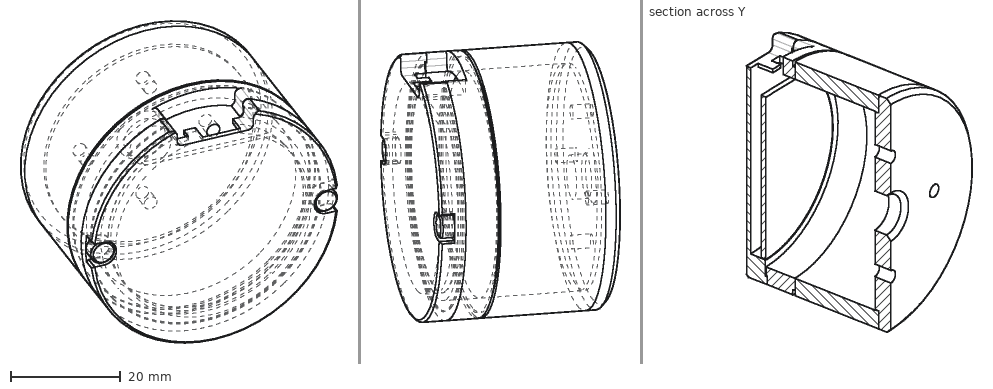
import cadquery as cq
import math

cap_end = 2.9
cap_back = 3.75
tube_end = 22.5
ring_start = 23.0
ring_end = 29.0
overall_length = 33.9

outer_radius = 24.5
inner_radius = 20.8
front_chamfer = 1.0
rear_chamfer = 0.5
groove_radius = 23.4
rear_spigot_radius = 22.7
rear_spigot_length = 0.25

bore_radius = 4.05
bore_chamfer = 1.0
bolt_hole_radius = 1.25
bolt_circle_radius = 12.5
bolt_hole_count = 4

slot_start = 25.3
slot_half_width = 7.55
slot_floor = 19.55
slot_floor_fillet = 1.15
slot_edge_fillet = 0.95
ledge_height = 22.85

recess_radius = 22.8
recess_depth = 0.4
cavity_radius = 19.35
slot_floor_thickness = 0.75
end_wall = 1.1
cavity_end = overall_length - end_wall
plug_opening_y = (-2.05, 5.4)
lead_opening_end = 31.5
lead_opening_y = (-6.7, -4.35)

board_start = 29.25
board_thickness = 1.2
board_flat = 14.7

screw_y = 22.05
screw_seat = 31.1
head_end = 33.6
head_radius = 2.35
head_chamfer = 0.35
notch_half_width = 2.45
notch_flare_start = 23.9
notch_flare_slope = 0.9


def disc(start, end, radius):
    """Cylinder on the X axis between two axial positions."""
    return cq.Workplane("YZ").workplane(offset=start).circle(radius).extrude(end - start)


def box_between(x_range, y_range, z_range):
    """Axis-aligned box given by its limits."""
    lengths = [high - low for low, high in (x_range, y_range, z_range)]
    corner = (x_range[0], y_range[0], z_range[0])
    return cq.Workplane("XY").box(*lengths, centered=False).translate(corner)


def flat_topped_disc(start, end, flat_height):
    """Disc that fits the cover cavity, cut level at a height above the motor axis."""
    above_flat = box_between(
        (start, end), (-cavity_radius, cavity_radius), (flat_height, outer_radius)
    )
    return disc(start, end, cavity_radius).cut(above_flat)


def slot_cutter(start, end, round_into_cylinder):
    """Rounded-floor slot whose upper edges curve into the outer cylinder or into a flat ledge."""
    centre_y = slot_half_width + slot_edge_fillet
    if round_into_cylinder:
        centre_radius = outer_radius - slot_edge_fillet
        centre_z = math.sqrt(centre_radius**2 - centre_y**2)
        top_angle = math.atan2(centre_z, centre_y)
    else:
        centre_z = ledge_height - slot_edge_fillet
        top_angle = math.pi / 2
    top_y = centre_y + slot_edge_fillet * math.cos(top_angle)
    top_z = centre_z + slot_edge_fillet * math.sin(top_angle)
    middle_angle = (math.pi + top_angle) / 2
    middle_y = centre_y + slot_edge_fillet * math.cos(middle_angle)
    middle_z = centre_z + slot_edge_fillet * math.sin(middle_angle)
    edge_y = math.sqrt(outer_radius**2 - top_z**2)

    floor_half = slot_half_width - slot_floor_fillet
    fillet_top = slot_floor + slot_floor_fillet
    fillet_inset = slot_floor_fillet * (1 - math.sqrt(0.5))
    corner_y = slot_half_width - fillet_inset
    corner_z = slot_floor + fillet_inset

    half_slot = (
        cq.Workplane("YZ").workplane(offset=start)
        .moveTo(0, slot_floor)
        .lineTo(floor_half, slot_floor)
        .threePointArc((corner_y, corner_z), (slot_half_width, fillet_top))
        .lineTo(slot_half_width, centre_z)
        .threePointArc((middle_y, middle_z), (top_y, top_z))
    )
    if not round_into_cylinder:
        half_slot = half_slot.lineTo(edge_y, top_z)
    half_slot = half_slot.lineTo(edge_y, outer_radius).lineTo(0, outer_radius).close().extrude(end - start)
    return half_slot.union(half_slot.mirror("XZ"))


def notch_cutter(side):
    """Screw notch with a round inner end and a mouth that flares at the outer cylinder."""
    round_end = disc(screw_seat, overall_length, notch_half_width).translate((0, side * screw_y, 0))
    mouth_half_width = notch_half_width + notch_flare_slope * (outer_radius - notch_flare_start)
    mouth = (
        cq.Workplane("YZ").workplane(offset=screw_seat)
        .moveTo(side * screw_y, -notch_half_width)
        .lineTo(side * notch_flare_start, -notch_half_width)
        .lineTo(side * outer_radius, -mouth_half_width)
        .lineTo(side * outer_radius, mouth_half_width)
        .lineTo(side * notch_flare_start, notch_half_width)
        .lineTo(side * screw_y, notch_half_width)
        .close()
        .extrude(overall_length - screw_seat)
    )
    return round_end.union(mouth)


def make_cap():
    """Front disc with a spigot into the tube, a chamfered centre bore and four bolt holes."""
    cap = disc(0, cap_end, outer_radius).faces("<X").chamfer(front_chamfer)
    cap = cap.union(disc(cap_end, cap_back, inner_radius))
    cap = cap.cut(disc(0, cap_back, bore_radius))
    countersink = cq.Solid.makeCone(
        bore_radius + bore_chamfer, bore_radius, bore_chamfer, cq.Vector(0, 0, 0), cq.Vector(1, 0, 0)
    )
    bolt_holes = (
        cq.Workplane("YZ")
        .polarArray(bolt_circle_radius, 0, 360, bolt_hole_count)
        .circle(bolt_hole_radius)
        .extrude(cap_back)
    )
    return cap.cut(cq.Workplane(countersink)).cut(bolt_holes)


def make_tube():
    """Plain tube behind the cap."""
    return disc(cap_end, tube_end, outer_radius).cut(disc(cap_end, tube_end, inner_radius))


def make_ring():
    """Slotted ring, set off from the tube by a narrower collar, with a spigot into the cover."""
    rear_spigot_end = ring_end + rear_spigot_length
    ring = disc(ring_start, ring_end, outer_radius)
    ring = ring.union(disc(tube_end, ring_start, groove_radius))
    ring = ring.union(disc(ring_end, rear_spigot_end, rear_spigot_radius))
    ring = ring.cut(disc(tube_end, rear_spigot_end, inner_radius))
    return ring.cut(slot_cutter(slot_start, rear_spigot_end, True))


def make_cover():
    """Rear cup with the slot, two floor openings and two screw notches."""
    cover = disc(ring_end, overall_length, outer_radius).faces(">X").chamfer(rear_chamfer)
    cover = cover.cut(disc(ring_end, ring_end + recess_depth, recess_radius))
    cover = cover.cut(flat_topped_disc(ring_end, cavity_end, slot_floor - slot_floor_thickness))
    cover = cover.cut(slot_cutter(ring_end, overall_length, False))
    openings = ((cavity_end, plug_opening_y), (lead_opening_end, lead_opening_y))
    for opening_end, y_range in openings:
        cover = cover.cut(box_between((ring_end, opening_end), y_range, (0, outer_radius)))
    for side in (-1, 1):
        cover = cover.cut(notch_cutter(side))
    return cover


def make_board():
    """Round circuit board with a flat below the slot openings."""
    return flat_topped_disc(board_start, board_start + board_thickness, board_flat)


def make_screw_head(side):
    """Chamfered screw head resting on the floor of its notch."""
    head = disc(screw_seat, head_end, head_radius).faces(">X").chamfer(head_chamfer)
    return head.translate((0, side * screw_y, 0))


cap = make_cap()
tube = make_tube()
ring = make_ring()
cover = make_cover()
board = make_board()
screw_heads = [make_screw_head(side) for side in (-1, 1)]

result = cq.Compound.makeCompound(
    [cap.val(), tube.val(), ring.val(), cover.val(), board.val()] + [head.val() for head in screw_heads]
)